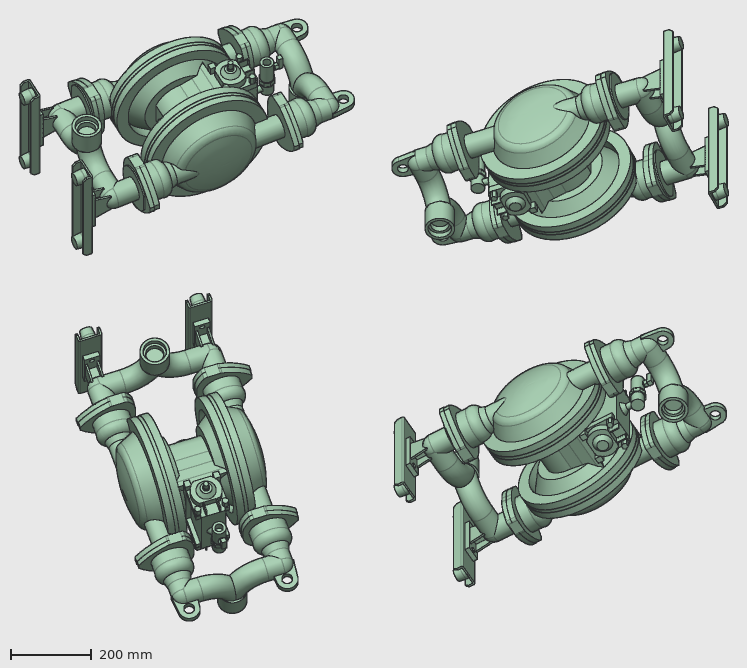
import cadquery as cq
import math


RIM_RADIUS = 164.5
SEAM_RADIUS = 163.0
RIM_INNER_X = 65.5
SEAM_INNER_X = 86.0
SEAM_OUTER_X = 95.0
RIM_OUTER_X = 114.0
HUB_X = 46.0
HUB_RADIUS = 97.0
RIM_BORE_RADIUS = 133.0
BACK_CONE_END_X = 96.0
COVER_BASE_RADIUS = 130.0
SHOULDER_X = 151.0
SHOULDER_RADIUS = 112.0
CROWN_X = 165.0
CROWN_RADIUS = 93.5
CROWN_MID_X = 176.0
COVER_TIP_X = 179.0

BLOCK_HALF_LENGTH = 78.0
BLOCK_RADIUS = 72.5
BLOCK_FRONT_Y = -66.0
BLOCK_RAMP_Y = 33.0
BLOCK_RAMP_Z = 81.0
LEDGE_FRONT_Y = 64.0
LEDGE_BACK_Y = 77.0
LEDGE_Z = 89.0
PLUG_RADIUS = 20.0
PLUG_HEIGHT = 7.0

VALVE_HALF_WIDTH = 44.0
VALVE_BACK_Y = 169.0
VALVE_MOUNT_HALF_WIDTH = 45.0
VALVE_MOUNT_DEPTH = 16.0
VALVE_PLATE_BOTTOM_Z = 71.0
VALVE_CORE_HALF_WIDTH = 32.0
VALVE_CORE_BACK_Y = 175.0
VALVE_CAP_Z = 110.0
CAP_Y = 117.0
CAP_RADIUS = 40.0
CAP_FLAT_Y = 84.0
CAP_BACK_Y = 146.5
CHEEK_X = 18.0
CHEEK_THICKNESS = 3.0
CHEEK_BACK_Y = 173.0
CORNER_BLOCK_X = 38.0
CORNER_BLOCK_WIDTH = 15.5
HEX_X = 36.0
HEX_Y = 159.0
HEX_ACROSS_CORNERS = 17.0
DOME_RADIUS = 25.0
DOME_TOP_RADIUS = 15.0
DOME_HEIGHT = 12.0
COLLAR_RADIUS = 8.5
COLLAR_TOP_Z = 128.0
SPINDLE_RADIUS = 6.0
SPINDLE_TOP_Z = 146.5

TAP_Y = 217.5
TAP_RADIUS = 17.0
TAP_BOTTOM_Z = -15.5
TAP_TOP_Z = 93.0
TAP_BORE_RADIUS = 10.0
TAP_BORE_DEPTH = 23.0
TAP_COLLAR_ACROSS_CORNERS = 42.0
TAP_COLLAR_BOTTOM_Z = 19.0
TAP_COLLAR_HEIGHT = 15.5
NIPPLE_RADIUS = 18.0
NIPPLE_NECK_RADIUS = 8.5
NIPPLE_CONE_LENGTH = 12.0
STEM_Z = 64.0
STEM_RADIUS = 5.5
STEM_NUT_ACROSS_CORNERS = 19.5
STEM_NUT_FRONT_Y = 237.0
HANDLE_FRONT_Y = 247.0
HANDLE_HALF_WIDTH = 6.6
HANDLE_BACK_Y = 259.0
HANDLE_BOTTOM_Z = 56.0

PIPE_RADIUS = 30.0
BELL_RADIUS = 48.0
BELL_NECK_RADIUS = 36.0
BELL_BULGE = 6.0
BEND_RADIUS = 85.0
SOCKET_RADIUS = 37.0
SOCKET_BOTTOM = 58.0
SOCKET_TOP = 118.5
SOCKET_BORE_RADIUS = 29.0
SOCKET_BORE_DEPTH = 15.0
SOCKET_SEAT_RADIUS = 22.5
SOCKET_SEAT_DEPTH = 31.0

OVERALL_WIDTH = 451.0

FLANGE_OUTER = 82.0
FLANGE_INNER = 65.5
FLANGE_HALF_HEIGHT = 74.0
FLANGE_TOP_INNER = 41.0
FLANGE_END_HALF = 8.0
FLANGE_OUTER_BOW = 8.0
FLANGE_INNER_BOW = 7.0
FLANGE_ROUND = 12.0
FLANGE_STEP = 1.5

INLET_X = OVERALL_WIDTH / 2 - FLANGE_OUTER
INLET_PIPE_END_Y = -39.0
INLET_NECK_Y = -118.0
INLET_BELL_NECK_Y = -134.0
INLET_BELL_Y = -164.0
INLET_FLANGE_Y = -192.0
INLET_FLANGE_JOINT_Y = -206.5
INLET_FLANGE_END_Y = -219.0
INLET_Y = -280.5
RAISED_FACE_RADIUS = 60.0
RAISED_FACE_CUT = 54.5
RAISED_FACE_THICKNESS = 4.0

OUTLET_X = 128.0
OUTLET_PIPE_END_Y = 78.0
OUTLET_FLANGE_Y = 188.0
OUTLET_FLANGE_JOINT_Y = 202.0
OUTLET_FLANGE_END_Y = 213.5
OUTLET_BELL_Y = 241.5
OUTLET_BELL_NECK_Y = 272.0
OUTLET_NECK_Y = 291.0
OUTLET_Y = 319.5

OVERALL_LENGTH = 779.0
LUG_RADIUS = 27.0
LUG_BASE_HALF_WIDTH = 32.0
LUG_HOLE_RADIUS = 13.0
LUG_END_Y = 392.0
LUG_THICKNESS = 16.0

PAD_WIDTH = 40.5
PAD_HEIGHT = 121.0
PAD_BACK_Y = -339.0
CHANNEL_Y = -351.5
CHANNEL_WIDTH = 62.0
CHANNEL_DEPTH = 26.5
CHANNEL_WEB = 5.0
CHANNEL_WALL = 5.5
CHANNEL_LENGTH = 298.0
CHANNEL_CHAMFER = 9.0
CHANNEL_BEND = 5.0
FOOT_END_Y = LUG_END_Y - OVERALL_LENGTH
FOOT_Z = 124.0
FOOT_RADIUS = 19.0
FOOT_TIP_RADIUS = 16.0
FOOT_TAPER_Y = -366.0
FOOT_HOLE_Z = 44.5
FOOT_HOLE_RADIUS = 6.6
RIB_OFFSET = 15.0
RIB_THICKNESS = 5.1
RIB_BASE_HALF = 34.0
RIB_TIP_HALF = 23.0
RIB_TIP_Y = -293.0


def cylinder_y(x, y_start, y_end, radius):
    """Cylinder parallel to Y."""
    axis = cq.Vector(0, math.copysign(1, y_end - y_start), 0)
    return cq.Workplane(cq.Solid.makeCylinder(radius, abs(y_end - y_start), cq.Vector(x, y_start, 0), axis))


def cylinder_z(x, y, z_start, z_end, radius):
    """Upright cylinder."""
    return cq.Workplane("XY", origin=(x, y, z_start)).circle(radius).extrude(z_end - z_start)


def box(x_range, y_range, z_range):
    """Box given by its two limits along each axis."""
    sizes = [high - low for low, high in (x_range, y_range, z_range)]
    corner = (x_range[0], y_range[0], z_range[0])
    return cq.Workplane("XY", origin=corner).box(*sizes, centered=False)


def join(solids):
    """Fuse a list of touching or overlapping solids."""
    body = solids[0]
    for solid in solids[1:]:
        body = body.union(solid)
    return body


def both_sides(half):
    """Mirror one half across the middle plane."""
    return half.union(half.mirror("YZ"))


def chamber():
    """Chamber on the +X side, revolved about X: back cone, rim with a shallow seam, domed cover."""
    outline = (
        cq.Workplane("XY")
        .moveTo(HUB_X, 0)
        .lineTo(HUB_X, HUB_RADIUS)
        .lineTo(BACK_CONE_END_X, RIM_BORE_RADIUS)
        .lineTo(RIM_INNER_X, RIM_BORE_RADIUS)
        .lineTo(RIM_INNER_X, RIM_RADIUS)
        .lineTo(SEAM_INNER_X, RIM_RADIUS)
        .lineTo(SEAM_INNER_X, SEAM_RADIUS)
        .lineTo(SEAM_OUTER_X, SEAM_RADIUS)
        .lineTo(SEAM_OUTER_X, RIM_RADIUS)
        .lineTo(RIM_OUTER_X, RIM_RADIUS)
        .lineTo(RIM_OUTER_X, COVER_BASE_RADIUS)
        .lineTo(SHOULDER_X, SHOULDER_RADIUS)
        .tangentArcPoint((CROWN_X, CROWN_RADIUS), relative=False)
        .threePointArc((CROWN_MID_X, CROWN_RADIUS / 2), (COVER_TIP_X, 0))
        .close()
    )
    return outline.revolve(360, (0, 0, 0), (1, 0, 0))


def center_block():
    """Block between the chambers: round front with a flat, ramps up to a ledge, front plug."""
    flat_z = math.sqrt(BLOCK_RADIUS**2 - BLOCK_FRONT_Y**2)
    arc_mid = BLOCK_RADIUS * math.sqrt(0.5)
    block = (
        cq.Workplane("YZ", origin=(-BLOCK_HALF_LENGTH, 0, 0))
        .moveTo(BLOCK_FRONT_Y, -flat_z)
        .lineTo(BLOCK_FRONT_Y, flat_z)
        .threePointArc((-arc_mid, arc_mid), (0, BLOCK_RADIUS))
        .lineTo(BLOCK_RAMP_Y, BLOCK_RAMP_Z)
        .lineTo(LEDGE_FRONT_Y, LEDGE_Z)
        .lineTo(LEDGE_BACK_Y, LEDGE_Z)
        .lineTo(LEDGE_BACK_Y, -LEDGE_Z)
        .lineTo(LEDGE_FRONT_Y, -LEDGE_Z)
        .lineTo(BLOCK_RAMP_Y, -BLOCK_RAMP_Z)
        .lineTo(0, -BLOCK_RADIUS)
        .threePointArc((-arc_mid, -arc_mid), (BLOCK_FRONT_Y, -flat_z))
        .close()
        .extrude(2 * BLOCK_HALF_LENGTH)
    )
    return block.union(cylinder_y(0, 0, BLOCK_FRONT_Y - PLUG_HEIGHT, PLUG_RADIUS))


def valve_cap():
    """Cap on the upper face of the air valve: round plate, cheeks, corner blocks, bolts and dome."""
    height = (LEDGE_Z, VALVE_CAP_Z)
    plate = cylinder_z(0, CAP_Y, LEDGE_Z, VALVE_CAP_Z, CAP_RADIUS)
    kept = box((-CAP_RADIUS, CAP_RADIUS), (CAP_FLAT_Y, CAP_BACK_Y), height)
    parts = [plate.intersect(kept)]
    for side in (-1, 1):
        cheek_x = side * CHEEK_X
        parts.append(
            box(
                (cheek_x - CHEEK_THICKNESS / 2, cheek_x + CHEEK_THICKNESS / 2),
                (CAP_Y, CHEEK_BACK_Y),
                height,
            )
        )
        corner_x = side * CORNER_BLOCK_X
        parts.append(
            box(
                (corner_x - CORNER_BLOCK_WIDTH / 2, corner_x + CORNER_BLOCK_WIDTH / 2),
                (LEDGE_BACK_Y, LEDGE_BACK_Y + VALVE_MOUNT_DEPTH),
                height,
            )
        )
        parts.append(
            cq.Workplane("XY", origin=(side * HEX_X, HEX_Y, LEDGE_Z))
            .polygon(6, HEX_ACROSS_CORNERS)
            .extrude(VALVE_CAP_Z - LEDGE_Z)
        )
    dome = cq.Solid.makeCone(DOME_RADIUS, DOME_TOP_RADIUS, DOME_HEIGHT, cq.Vector(0, CAP_Y, VALVE_CAP_Z))
    parts.append(cq.Workplane(dome))
    return join(parts)


def air_valve():
    """Valve core and mount behind the ledge, equal ends above and below, spindle on the upper end."""
    plate = VALVE_HALF_WIDTH
    mount = VALVE_MOUNT_HALF_WIDTH
    core = VALVE_CORE_HALF_WIDTH
    height = (-LEDGE_Z, LEDGE_Z)
    upper_end = join(
        [
            box((-plate, plate), (LEDGE_BACK_Y, VALVE_BACK_Y), (VALVE_PLATE_BOTTOM_Z, LEDGE_Z)),
            valve_cap(),
        ]
    )
    return join(
        [
            box((-core, core), (LEDGE_BACK_Y, VALVE_CORE_BACK_Y), height),
            box((-mount, mount), (LEDGE_BACK_Y, LEDGE_BACK_Y + VALVE_MOUNT_DEPTH), height),
            upper_end,
            upper_end.mirror("XY"),
            cylinder_z(0, CAP_Y, VALVE_CAP_Z, COLLAR_TOP_Z, COLLAR_RADIUS),
            cylinder_z(0, CAP_Y, VALVE_CAP_Z, SPINDLE_TOP_Z, SPINDLE_RADIUS),
        ]
    )


def ball_valve():
    """Upright ball valve on a coned nipple, with a stem, a nut and a flat handle at the back."""
    nipple = cq.Workplane(
        cq.Solid.makeCone(
            NIPPLE_RADIUS,
            NIPPLE_NECK_RADIUS,
            NIPPLE_CONE_LENGTH,
            cq.Vector(0, VALVE_CORE_BACK_Y, 0),
            cq.Vector(0, 1, 0),
        )
    )
    collar = (
        cq.Workplane("XY", origin=(0, TAP_Y, TAP_COLLAR_BOTTOM_Z))
        .polygon(8, TAP_COLLAR_ACROSS_CORNERS)
        .extrude(TAP_COLLAR_HEIGHT)
    )
    stem = cylinder_y(0, TAP_Y, HANDLE_BACK_Y, STEM_RADIUS).translate((0, 0, STEM_Z))
    nut = (
        cq.Workplane("XZ", origin=(0, STEM_NUT_FRONT_Y, STEM_Z))
        .polygon(6, STEM_NUT_ACROSS_CORNERS)
        .extrude(STEM_NUT_FRONT_Y - HANDLE_FRONT_Y)
    )
    handle = box(
        (-HANDLE_HALF_WIDTH, HANDLE_HALF_WIDTH),
        (HANDLE_FRONT_Y, HANDLE_BACK_Y),
        (HANDLE_BOTTOM_Z, TAP_TOP_Z),
    )
    body = join(
        [
            nipple,
            cylinder_y(0, VALVE_CORE_BACK_Y, TAP_Y, NIPPLE_NECK_RADIUS),
            cylinder_z(0, TAP_Y, TAP_BOTTOM_Z, TAP_TOP_Z, TAP_RADIUS),
            collar,
            stem,
            nut,
            handle,
        ]
    )
    return body.cut(cylinder_z(0, TAP_Y, TAP_TOP_Z - TAP_BORE_DEPTH, TAP_TOP_Z, TAP_BORE_RADIUS))


def bell_reducer(pipe_x, flange_y, bell_y, bell_neck_y, neck_y):
    """Solid bell about a line parallel to Y, wide at the flange and narrowing to the pipe."""
    bulge = math.copysign(BELL_BULGE, bell_neck_y - bell_y)
    return (
        cq.Workplane("XY", origin=(pipe_x, 0, 0))
        .moveTo(0, flange_y)
        .lineTo(BELL_RADIUS, flange_y)
        .lineTo(BELL_RADIUS, bell_y)
        .sagittaArc((BELL_NECK_RADIUS, bell_neck_y), -bulge)
        .lineTo(PIPE_RADIUS, neck_y)
        .lineTo(0, neck_y)
        .close()
        .revolve(360, (0, 0, 0), (0, 1, 0))
    )


def flange_plate(pipe_x, y_start, y_end, step=0.0):
    """Flange plate with flat ends and bowed slanting sides; step draws in both ends."""
    outer = pipe_x + FLANGE_OUTER - step
    inner = pipe_x - FLANGE_INNER + step
    top_inner = pipe_x - FLANGE_TOP_INNER
    top = FLANGE_HALF_HEIGHT
    end = FLANGE_END_HALF
    plate = (
        cq.Workplane("XZ", origin=(0, y_start, 0))
        .moveTo(outer, -end)
        .lineTo(outer, end)
        .sagittaArc((pipe_x, top), -FLANGE_OUTER_BOW)
        .lineTo(top_inner, top)
        .sagittaArc((inner, end), -FLANGE_INNER_BOW)
        .lineTo(inner, -end)
        .sagittaArc((top_inner, -top), -FLANGE_INNER_BOW)
        .lineTo(pipe_x, -top)
        .sagittaArc((outer, -end), -FLANGE_OUTER_BOW)
        .close()
        .extrude(y_start - y_end)
    )
    return plate.edges("|Y").edges("<Z or >Z").fillet(FLANGE_ROUND)


def elbow_and_bend(pipe_x, pipe_y, leg_end_y):
    """Leg along Y, ball corner, run along X, and a quarter bend rising to the middle at X = 0."""
    leg = cylinder_y(pipe_x, pipe_y, leg_end_y, PIPE_RADIUS)
    corner = cq.Workplane("XY").sphere(PIPE_RADIUS).translate((pipe_x, pipe_y, 0))
    bend_start = cq.Workplane("YZ", origin=(BEND_RADIUS, pipe_y, 0)).circle(PIPE_RADIUS)
    run = bend_start.extrude(pipe_x - BEND_RADIUS)
    bend = (
        cq.Workplane("YZ", origin=(BEND_RADIUS, pipe_y, 0))
        .circle(PIPE_RADIUS)
        .revolve(90, (0, BEND_RADIUS, 0), (1, BEND_RADIUS, 0))
    )
    other_side = box(
        (-2 * PIPE_RADIUS, 0),
        (pipe_y - 2 * PIPE_RADIUS, pipe_y + 2 * PIPE_RADIUS),
        (-2 * PIPE_RADIUS, SOCKET_TOP),
    )
    return join([leg, corner, run, bend.cut(other_side)])


def socket(pipe_y):
    """Upright socket at the middle of a manifold, and the stepped bore to cut from it."""
    body = cylinder_z(0, pipe_y, SOCKET_BOTTOM, SOCKET_TOP, SOCKET_RADIUS)
    mouth = cylinder_z(0, pipe_y, SOCKET_TOP - SOCKET_BORE_DEPTH, SOCKET_TOP, SOCKET_BORE_RADIUS)
    seat = cylinder_z(0, pipe_y, SOCKET_TOP - SOCKET_SEAT_DEPTH, SOCKET_TOP, SOCKET_SEAT_RADIUS)
    return body, mouth.union(seat)


def foot_bracket():
    """Pad with two tapered ribs and a web between them, reaching back to the inlet elbow."""
    parts = [
        box(
            (INLET_X - PAD_WIDTH / 2, INLET_X + PAD_WIDTH / 2),
            (CHANNEL_Y, PAD_BACK_Y),
            (-PAD_HEIGHT / 2, PAD_HEIGHT / 2),
        ),
        box(
            (INLET_X - RIB_OFFSET, INLET_X + RIB_OFFSET),
            (PAD_BACK_Y, RIB_TIP_Y),
            (-RIB_THICKNESS / 2, RIB_THICKNESS / 2),
        ),
    ]
    for side in (-1, 1):
        rib_x = INLET_X + side * RIB_OFFSET
        parts.append(
            cq.Workplane("YZ", origin=(rib_x - RIB_THICKNESS / 2, 0, 0))
            .moveTo(PAD_BACK_Y, -RIB_BASE_HALF)
            .lineTo(PAD_BACK_Y, RIB_BASE_HALF)
            .lineTo(RIB_TIP_Y, RIB_TIP_HALF)
            .lineTo(RIB_TIP_Y, -RIB_TIP_HALF)
            .close()
            .extrude(RIB_THICKNESS)
        )
    return join(parts)


def foot_channel():
    """Upright channel, open toward -Y, with rounded bends and chamfered ends."""
    half_width = CHANNEL_WIDTH / 2
    half_length = CHANNEL_LENGTH / 2
    hollow = half_width - CHANNEL_WALL
    end_y = CHANNEL_Y - CHANNEL_DEPTH
    length = (-half_length, half_length)
    channel = box((INLET_X - half_width, INLET_X + half_width), (end_y, CHANNEL_Y), length)
    channel = channel.faces("<Y").edges("|X").chamfer(CHANNEL_CHAMFER)
    channel = channel.faces(">Y").edges("|Z").fillet(CHANNEL_BEND)
    return channel.cut(box((INLET_X - hollow, INLET_X + hollow), (end_y, CHANNEL_Y - CHANNEL_WEB), length))


def foot_buffer(z):
    """Round buffer with a tapered tip, standing in the channel."""
    return (
        cq.Workplane("XY", origin=(INLET_X, 0, z))
        .moveTo(0, CHANNEL_Y)
        .lineTo(FOOT_RADIUS, CHANNEL_Y)
        .lineTo(FOOT_RADIUS, FOOT_TAPER_Y)
        .lineTo(FOOT_TIP_RADIUS, FOOT_END_Y)
        .lineTo(0, FOOT_END_Y)
        .close()
        .revolve(360, (0, 0, 0), (0, 1, 0))
    )


def foot():
    """Foot on the +X side: bracket, channel and two buffers, with two bolt holes."""
    body = join([foot_bracket(), foot_channel(), foot_buffer(-FOOT_Z), foot_buffer(FOOT_Z)])
    hole = cylinder_y(INLET_X, CHANNEL_Y - CHANNEL_DEPTH, PAD_BACK_Y, FOOT_HOLE_RADIUS)
    for side in (-1, 1):
        body = body.cut(hole.translate((0, 0, side * FOOT_HOLE_Z)))
    return body


def raised_face():
    """Thin disc on the inlet flange with its outer side cut flat."""
    end_y = INLET_FLANGE_END_Y - RAISED_FACE_THICKNESS
    disc = cylinder_y(INLET_X, INLET_FLANGE_END_Y, end_y, RAISED_FACE_RADIUS)
    cut_x = INLET_X + RAISED_FACE_CUT
    return disc.cut(
        box(
            (cut_x, cut_x + RAISED_FACE_RADIUS),
            (end_y, INLET_FLANGE_END_Y),
            (-RAISED_FACE_RADIUS, RAISED_FACE_RADIUS),
        )
    )


def inlet_manifold():
    """Inlet piping with its socket facing up, and the feet."""
    half = join(
        [
            elbow_and_bend(INLET_X, INLET_Y, INLET_PIPE_END_Y),
            bell_reducer(INLET_X, INLET_FLANGE_Y, INLET_BELL_Y, INLET_BELL_NECK_Y, INLET_NECK_Y),
            flange_plate(INLET_X, INLET_FLANGE_Y, INLET_FLANGE_JOINT_Y, FLANGE_STEP),
            flange_plate(INLET_X, INLET_FLANGE_JOINT_Y, INLET_FLANGE_END_Y),
            raised_face(),
            foot(),
        ]
    )
    body, bore = socket(INLET_Y)
    return both_sides(half).union(body).cut(bore)


def lug():
    """Flat lifting lug at the outlet corner on the +X side, and the eye to cut from it."""
    eye_y = LUG_END_Y - LUG_RADIUS
    half_thickness = LUG_THICKNESS / 2
    plate = (
        cq.Workplane("XY", origin=(OUTLET_X, 0, -half_thickness))
        .moveTo(-LUG_BASE_HALF_WIDTH, OUTLET_Y)
        .lineTo(LUG_BASE_HALF_WIDTH, OUTLET_Y)
        .lineTo(LUG_RADIUS, eye_y)
        .lineTo(-LUG_RADIUS, eye_y)
        .close()
        .extrude(LUG_THICKNESS)
    )
    rounded_end = cylinder_z(OUTLET_X, eye_y, -half_thickness, half_thickness, LUG_RADIUS)
    eye = cylinder_z(OUTLET_X, eye_y, -half_thickness, half_thickness, LUG_HOLE_RADIUS)
    return plate.union(rounded_end), eye


def outlet_manifold():
    """Outlet piping with its socket facing down, and the lifting lugs."""
    piping = join(
        [
            elbow_and_bend(OUTLET_X, OUTLET_Y, OUTLET_PIPE_END_Y),
            bell_reducer(OUTLET_X, OUTLET_FLANGE_END_Y, OUTLET_BELL_Y, OUTLET_BELL_NECK_Y, OUTLET_NECK_Y),
            flange_plate(OUTLET_X, OUTLET_FLANGE_Y, OUTLET_FLANGE_JOINT_Y),
            flange_plate(OUTLET_X, OUTLET_FLANGE_JOINT_Y, OUTLET_FLANGE_END_Y, FLANGE_STEP),
        ]
    ).mirror("XY")
    plate, eye = lug()
    body, bore = socket(OUTLET_Y)
    half = piping.union(plate).cut(eye)
    return both_sides(half).union(body.mirror("XY")).cut(bore.mirror("XY"))


right_chamber = chamber()
result = join(
    [
        center_block(),
        right_chamber,
        right_chamber.mirror("YZ"),
        air_valve(),
        ball_valve(),
        inlet_manifold(),
        outlet_manifold(),
    ]
)